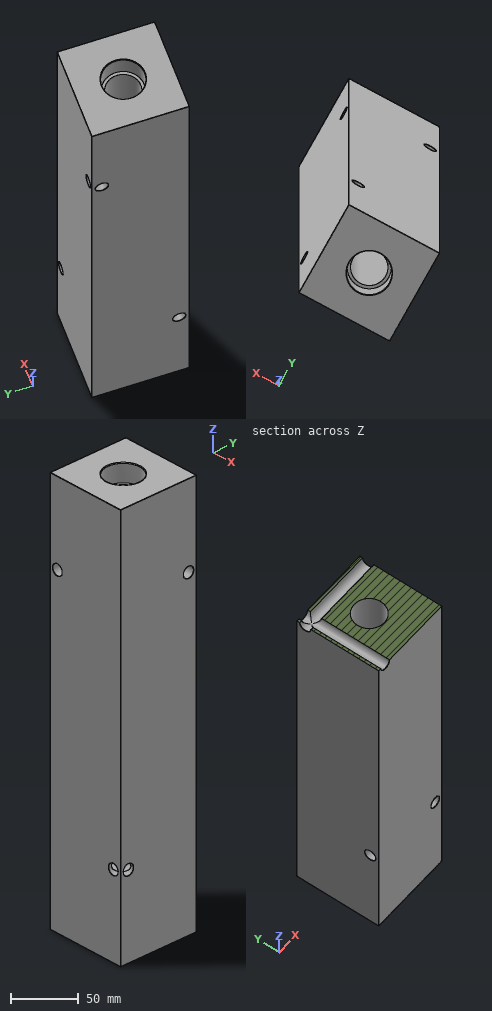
import cadquery as cq

length = 387.5
side = 76.5
edge_break = 0.25

bore_diameter = 27.5
port_outer_diameter = 33.5
port_inner_diameter = 32.5
port_depth = 17.0
port_chamfer_width = 0.45
port_chamfer_depth = 0.8

cross_hole_diameter = 10.0
cross_hole_offset = 30.2
cross_hole_height = 114.3


def make_block():
    return cq.Workplane("XY").box(side, side, length).edges().chamfer(edge_break)


def make_bore():
    """Turned cutter: the bore and both tapered ports with chamfered mouths."""
    end = length / 2
    bore_radius = bore_diameter / 2
    port_inner_radius = port_inner_diameter / 2
    port_outer_radius = port_outer_diameter / 2
    mouth_radius = port_outer_radius + port_chamfer_width
    upper_half = (
        cq.Workplane("XZ")
        .lineTo(bore_radius, 0)
        .lineTo(bore_radius, end - port_depth)
        .lineTo(port_inner_radius, end - port_depth)
        .lineTo(port_outer_radius, end - port_chamfer_depth)
        .lineTo(mouth_radius, end)
        .lineTo(0, end)
        .close()
        .revolve(360, (0, 0, 0), (0, 1, 0))
    )
    return upper_half.union(upper_half.mirror("XY"))


def make_cross_hole():
    """Turned cutter along Z, as long as the block is wide, flared at both mouths."""
    half_width = side / 2
    radius = cross_hole_diameter / 2
    return (
        cq.Workplane("XZ")
        .moveTo(0, -half_width)
        .lineTo(radius + edge_break, -half_width)
        .lineTo(radius, -half_width + edge_break)
        .lineTo(radius, half_width - edge_break)
        .lineTo(radius + edge_break, half_width)
        .lineTo(0, half_width)
        .close()
        .revolve(360, (0, 0, 0), (0, 1, 0))
    )


hole_along_y = make_cross_hole().rotate((0, 0, 0), (1, 0, 0), 90)
hole_along_x = make_cross_hole().rotate((0, 0, 0), (0, 1, 0), 90)

result = make_block().cut(make_bore())

for level in (1, -1):
    height = level * cross_hole_height
    offset = level * cross_hole_offset
    result = result.cut(hole_along_y.translate((-offset, 0, height)))
    result = result.cut(hole_along_x.translate((0, offset, height)))